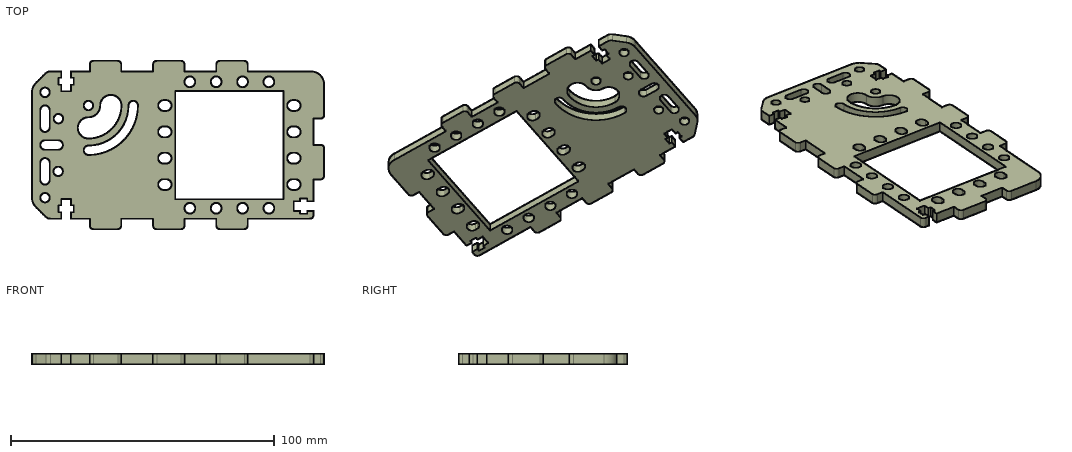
import cadquery as cq
import math

thickness = 4.0
length = 111.0
body_half_width = 28.0
tab_height = 4.0
body_right = length - tab_height

corner_chamfer = 6.0
chamfer_left_blend = 5.0
chamfer_side_blend = 2.3
large_corner_radius = 5.0
tab_corner_radius = 1.4

tab_width = 12.0
tab_pitch = 24.0
last_tab_center_x = 76.0
tab_count = 3

upper_tab_bottom = 10.0
lower_tab_top = 0.1
lower_tab_bottom = -13.1

window_size = 41.0
window_center_x = 75.0
mount_pitch = 10.0
mount_count = 4
mount_offsets = [mount_pitch * (i - (mount_count - 1) / 2) for i in range(mount_count)]
mount_hole_diameter = 4.0
mount_hole_row_y = 24.0
mount_slot_length = 5.0
mount_slot_row_x = 24.5

screw_slot_width = 3.6
nut_width = 5.7
nut_thickness = 2.6
screw_slot_depth = 7.5
nut_center_depth = 3.8
side_slot_x = 13.0
end_slot_y = -23.2

small_diameter = 3.5
edge_column_x = 5.0
edge_hole_y = 20.0
edge_slot_y = 10.0
edge_slot_length = 10.0
upper_inner_hole_x = 10.1
lower_inner_hole_x = 10.0
middle_slot_x = 7.5
middle_slot_length = 8.5

pivot_x = 21.5
pivot_y = 15.0
wide_arc_radius = 8.5
wide_arc_width = 8.0
narrow_arc_radius = 17.0
narrow_arc_width = 3.5


def box(x_min, x_max, y_min, y_max):
    """Full-thickness block between the given X and Y limits."""
    return cq.Workplane("XY").box(
        x_max - x_min, y_max - y_min, thickness, centered=False
    ).translate((x_min, y_min, 0))


def round_cutter(points, diameter):
    return cq.Workplane("XY").pushPoints(points).circle(diameter / 2).extrude(thickness)


def slot_cutter(points, slot_length, width, angle=0):
    return cq.Workplane("XY").pushPoints(points).slot2D(slot_length, width, angle).extrude(thickness)


def arc_slot_cutter(radius, width):
    """Quarter-circle slot about the pivot, from straight below it to its right."""
    inner = radius - width / 2
    outer = radius + width / 2
    diagonal = math.sqrt(0.5)
    return (
        cq.Workplane("XY")
        .moveTo(0, -outer)
        .threePointArc((outer * diagonal, -outer * diagonal), (outer, 0))
        .threePointArc((radius, width / 2), (inner, 0))
        .threePointArc((inner * diagonal, -inner * diagonal), (0, -inner))
        .threePointArc((-width / 2, -radius), (0, -outer))
        .close()
        .extrude(thickness)
        .translate((pivot_x, pivot_y, 0))
    )


def cross_slot_cutter():
    """Screw slot entering along +Y from an edge at Y = 0, crossed by a nut pocket."""
    half_thickness = nut_thickness / 2
    screw = box(-screw_slot_width / 2, screw_slot_width / 2, 0, screw_slot_depth)
    nut = box(
        -nut_width / 2, nut_width / 2, nut_center_depth - half_thickness, nut_center_depth + half_thickness
    )
    return screw.union(nut)


def make_body():
    body = box(0, body_right, -body_half_width, body_half_width)
    body = body.edges("|Z and <X").chamfer(corner_chamfer)
    body = body.edges("|Z and <X").fillet(chamfer_left_blend)
    for side in (-1, 1):
        chamfer_end = cq.selectors.NearestToPointSelector(
            (corner_chamfer, side * body_half_width, thickness / 2)
        )
        body = body.edges(chamfer_end).fillet(chamfer_side_blend)
    return body.edges("|Z and >X and <Y").fillet(tab_corner_radius)


def make_long_side_tabs():
    tabs = cq.Workplane("XY")
    half_span = body_half_width + tab_height
    for i in range(tab_count):
        center_x = last_tab_center_x - i * tab_pitch
        tab = box(center_x - tab_width / 2, center_x + tab_width / 2, -half_span, half_span)
        tabs = tabs.add(tab.edges("|Z").fillet(tab_corner_radius))
    return tabs.combine()


def make_right_tabs():
    root_x = body_right - tab_height
    upper = box(root_x, length, upper_tab_bottom, body_half_width)
    upper = upper.edges("|Z and >X and <Y").fillet(tab_corner_radius)
    lower = box(root_x, length, lower_tab_bottom, lower_tab_top)
    lower = lower.edges("|Z and >X").fillet(tab_corner_radius)
    return upper.union(lower)


def cut_window_and_mounts(plate):
    half = window_size / 2
    plate = plate.cut(box(window_center_x - half, window_center_x + half, -half, half))
    for side in (-1, 1):
        holes = [(window_center_x + d, side * mount_hole_row_y) for d in mount_offsets]
        slots = [(window_center_x + side * mount_slot_row_x, d) for d in mount_offsets]
        plate = plate.cut(round_cutter(holes, mount_hole_diameter))
        plate = plate.cut(slot_cutter(slots, mount_slot_length, mount_hole_diameter))
    return plate


def cut_cross_slots(plate):
    cross_slot = cross_slot_cutter()
    lower_slot = cross_slot.translate((side_slot_x, -body_half_width, 0))
    end_slot = cross_slot.rotate((0, 0, 0), (0, 0, 1), 90).translate((body_right, end_slot_y, 0))
    return plate.cut(lower_slot).cut(lower_slot.mirror("XZ")).cut(end_slot)


def cut_left_edge_features(plate):
    holes = [(upper_inner_hole_x, edge_slot_y), (lower_inner_hole_x, -edge_slot_y)]
    slots = []
    for side in (-1, 1):
        holes.append((edge_column_x, side * edge_hole_y))
        slots.append((edge_column_x, side * edge_slot_y))
    plate = plate.cut(round_cutter(holes, small_diameter))
    plate = plate.cut(slot_cutter(slots, edge_slot_length, small_diameter, 90))
    return plate.cut(slot_cutter([(middle_slot_x, 0)], middle_slot_length, small_diameter))


def cut_pivot_features(plate):
    plate = plate.cut(round_cutter([(pivot_x, pivot_y)], small_diameter))
    plate = plate.cut(arc_slot_cutter(wide_arc_radius, wide_arc_width))
    return plate.cut(arc_slot_cutter(narrow_arc_radius, narrow_arc_width))


result = make_body().union(make_right_tabs())
result = result.edges("|Z and >X and >Y").fillet(large_corner_radius)
result = result.union(make_long_side_tabs())
result = cut_window_and_mounts(result)
result = cut_cross_slots(result)
result = cut_left_edge_features(result)
result = cut_pivot_features(result)